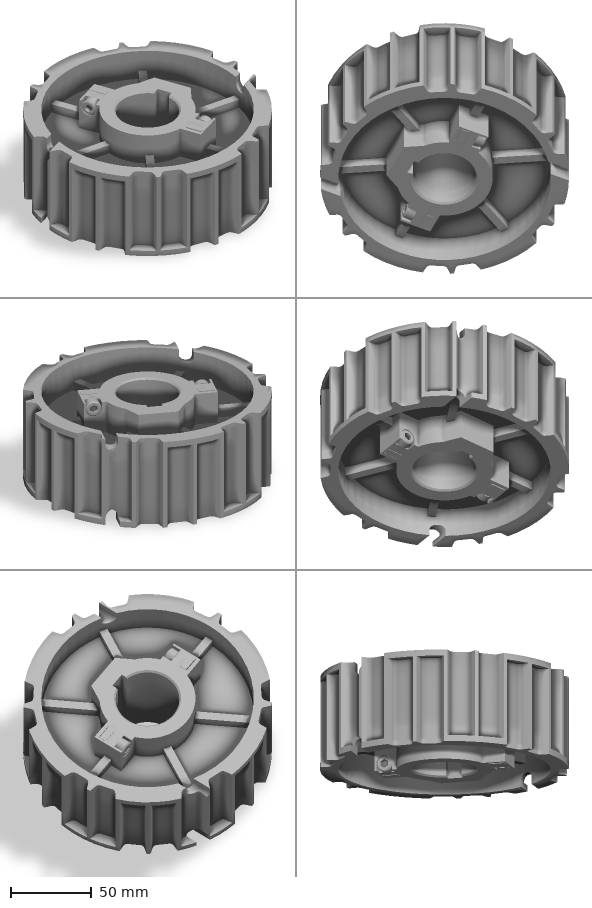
import cadquery as cq
import math

outer_radius = 77.1
rim_inner_radius = 65.8
half_width = 29.1

pocket_count = 25
pocket_pitch = 360 / pocket_count
through_pocket_angle = 5.5 * pocket_pitch
pocket_floor_radius = 70.7
pocket_floor_half = 5.7
pocket_flank_angle = 25
pocket_fillet = 3.0
flange_thickness = 3.9

web_half = 8.5
rib_count = 6
rib_width = 5.2
rib_height = 6.2

hub_radius = 29.8
bore_radius = 19.7
bore_chamfer = 1.1
keyway_half = 5.0
keyway_top = 23.1
boss_top = 33.8
boss_top_half = 12.6
boss_side_angle = 60
boss_base_half = 20.0

lug_end = 42.4
lug_half = 10.2

screw_x = 36.0
screw_z = 24.75
head_radius = 5.01
head_length = 6.2
head_chamfer = 0.8
socket_flats = 4.8
socket_depth = 3.1
shank_radius = 3.0
nut_width = 10.2
nut_height = 9.4
nut_inner_y = 2.6
nut_thickness = 4.6
nut_gap = 0.5
access_radius = 4.2

nut_outer_y = nut_inner_y + nut_thickness
cut_margin = 1.5


def make_cylinder(radius, z_low, z_high):
    return cq.Workplane("XY").workplane(offset=z_low).circle(radius).extrude(z_high - z_low)


def make_box(x_range, y_range, z_range):
    """Box from its lower and upper limit along each axis."""
    sizes = [high - low for low, high in (x_range, y_range, z_range)]
    corner = (x_range[0], y_range[0], z_range[0])
    return cq.Workplane("XY").box(*sizes, centered=False).translate(corner)


def tooth_pocket(index):
    """Trapezoidal pocket; pairs open alternately to the bottom and the top, the first to both."""
    rise = outer_radius + cut_margin - pocket_floor_radius
    mouth_half = pocket_floor_half + rise * math.tan(math.radians(pocket_flank_angle))
    mouth_radius = pocket_floor_radius + rise
    open_to_top = index == 0 or (index - 1) // 2 % 2 == 1
    open_to_bottom = index == 0 or not open_to_top
    z_low = -half_width if open_to_bottom else flange_thickness - half_width
    z_high = half_width if open_to_top else half_width - flange_thickness
    profile = [
        (pocket_floor_radius, -pocket_floor_half),
        (mouth_radius, -mouth_half),
        (mouth_radius, mouth_half),
        (pocket_floor_radius, pocket_floor_half),
    ]
    pocket = cq.Workplane("XY").workplane(offset=z_low).polyline(profile).close().extrude(z_high - z_low)
    pocket = pocket.edges("|Z and <X").fillet(pocket_fillet)
    return pocket.rotate((0, 0, 0), (0, 0, 1), through_pocket_angle + index * pocket_pitch)


def make_rim():
    rim = make_cylinder(outer_radius, -half_width, half_width)
    rim = rim.cut(make_cylinder(rim_inner_radius, -half_width, half_width))
    for index in range(pocket_count):
        rim = rim.cut(tooth_pocket(index))
    return rim


def make_web():
    """Flat disc with radial ribs on both faces, rooted in the hub and the rim."""
    web = make_cylinder(rim_inner_radius, -web_half, web_half)
    rib_top = web_half + rib_height
    rib_span = ((bore_radius + hub_radius) / 2, (rim_inner_radius + pocket_floor_radius) / 2)
    rib = make_box(rib_span, (-rib_width / 2, rib_width / 2), (-rib_top, rib_top))
    for index in range(rib_count):
        web = web.union(rib.rotate((0, 0, 0), (0, 0, 1), index * 360 / rib_count))
    return web


def make_hub():
    """Round hub with a raised boss over the keyway and two clamping lugs."""
    hub = make_cylinder(hub_radius, -half_width, half_width)
    boss_drop = (boss_base_half - boss_top_half) * math.tan(math.radians(boss_side_angle))
    boss_profile = [
        (-boss_base_half, 0),
        (-boss_base_half, boss_top - boss_drop),
        (-boss_top_half, boss_top),
        (boss_top_half, boss_top),
        (boss_base_half, boss_top - boss_drop),
        (boss_base_half, 0),
    ]
    boss = cq.Workplane("XY").workplane(offset=-half_width).polyline(boss_profile).close()
    hub = hub.union(boss.extrude(2 * half_width))
    lugs = make_box((-lug_end, lug_end), (-lug_half, lug_half), (-half_width, half_width))
    return hub.union(lugs)


def cut_bore(body):
    """Shaft bore with chamfered ends and a keyway on the +Y side."""
    mouth_radius = bore_radius + bore_chamfer
    chamfer_start = half_width - bore_chamfer
    half_section = [
        (0, -half_width),
        (mouth_radius, -half_width),
        (bore_radius, -chamfer_start),
        (bore_radius, chamfer_start),
        (mouth_radius, half_width),
        (0, half_width),
    ]
    bore = cq.Workplane("XZ").polyline(half_section).close().revolve(360, (0, 0, 0), (0, 1, 0))
    keyway = make_box((-keyway_half, keyway_half), (0, keyway_top), (-half_width, half_width))
    return body.cut(bore).cut(keyway)


def y_cylinder(radius, y_low, y_high):
    """Cylinder along the axis of the screw in the upper -X position."""
    plane = cq.Plane(origin=(-screw_x, y_low, screw_z), xDir=(1, 0, 0), normal=(0, 1, 0))
    return cq.Workplane(plane).circle(radius).extrude(y_high - y_low)


def open_slot(radius, y_low, y_high):
    """Round-bottomed slot around the screw axis, open upwards."""
    x_range = (-screw_x - radius, -screw_x + radius)
    upper = make_box(x_range, (y_low, y_high), (screw_z, half_width + cut_margin))
    return y_cylinder(radius, y_low, y_high).union(upper)


def make_screw():
    """Socket head screw with its head on the -Y side, in the upper -X position."""
    head = y_cylinder(head_radius, -lug_half, head_length - lug_half)
    head = head.faces("<Y").edges().chamfer(head_chamfer)
    socket_plane = cq.Plane(origin=(-screw_x, -lug_half, screw_z), xDir=(0, 0, 1), normal=(0, 1, 0))
    socket_diameter = socket_flats / math.cos(math.radians(30))
    socket = cq.Workplane(socket_plane).polygon(6, socket_diameter).extrude(socket_depth)
    shank = y_cylinder(shank_radius, head_length - lug_half, nut_outer_y)
    return head.cut(socket).union(shank)


def make_nut():
    """Rectangular nut on the +Y end of the screw in the upper -X position."""
    x_range = (-screw_x - nut_width / 2, -screw_x + nut_width / 2)
    z_range = (screw_z - nut_height / 2, screw_z + nut_height / 2)
    nut = make_box(x_range, (nut_inner_y, nut_outer_y), z_range)
    return nut.cut(y_cylinder(shank_radius, nut_inner_y, nut_outer_y))


def fastener_cutout():
    """Head recess, shank hole, nut slot and rim access slot of the upper -X position."""
    cutout = open_slot(head_radius, -lug_half, head_length - lug_half)
    cutout = cutout.union(y_cylinder(shank_radius, head_length - lug_half, nut_outer_y))
    nut_slot = make_box(
        (-screw_x - nut_width / 2, -screw_x + nut_width / 2),
        (nut_inner_y, nut_outer_y + nut_gap),
        (screw_z - nut_height / 2, half_width + cut_margin),
    )
    rim_slot = open_slot(access_radius, -outer_radius, -rim_inner_radius / 2)
    return cutout.union(nut_slot).union(rim_slot)


def four_positions(shape):
    """The shape at both ends of both lugs; the +X lug is turned half round the Z axis."""
    lower = shape.mirror("XY")
    half_turn = ((0, 0, 0), (0, 0, 1), 180)
    return [shape, lower, shape.rotate(*half_turn), lower.rotate(*half_turn)]


sprocket = cut_bore(make_rim().union(make_web()).union(make_hub()))
for cutout in four_positions(fastener_cutout()):
    sprocket = sprocket.cut(cutout)

screws = [screw.val() for screw in four_positions(make_screw())]
nuts = [nut.val() for nut in four_positions(make_nut())]

result = cq.Compound.makeCompound([sprocket.val(), *screws, *nuts])